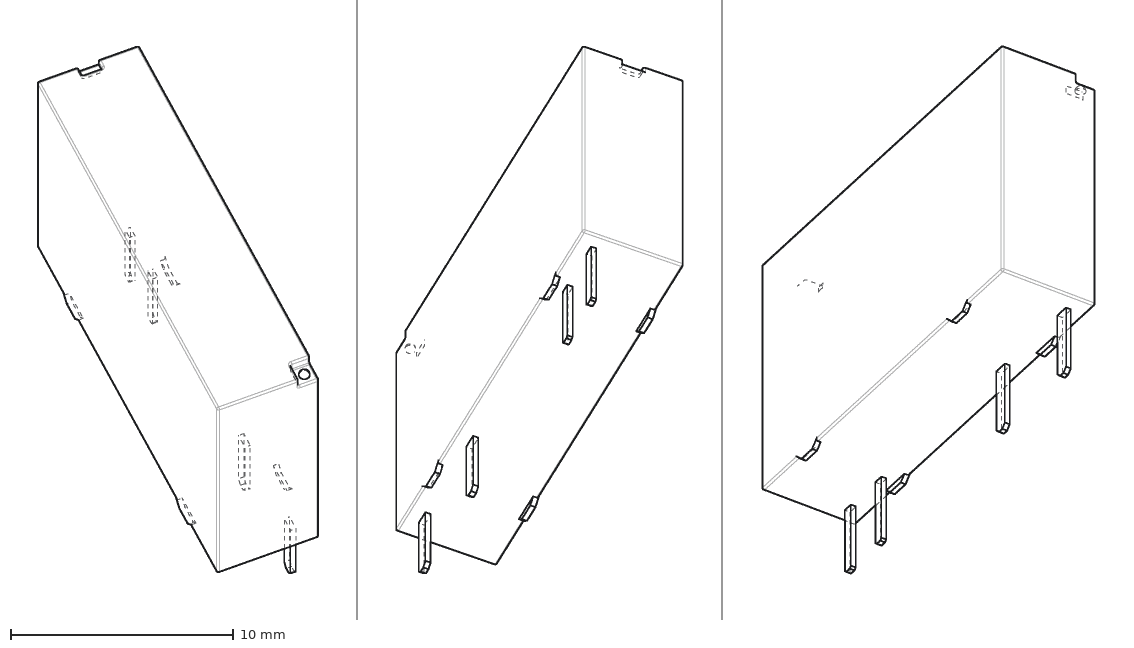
import cadquery as cq

case_length = 20.0
case_width = 5.0
overall_height = 16.0
pin_length = 3.5
case_height = overall_height - pin_length
edge_radius = 0.1

foot_height = 0.3
foot_thickness = 0.25
foot_tip_width = 0.92
foot_spacing = 12.5

pin_thickness = 0.25
pin_row_y = 1.62
narrow_pin_width = 0.5
narrow_pin_chamfer = 0.1
wide_pin_width = 0.72
wide_pin_chamfer = 0.22
pin_pitch = 2.55
first_pin_inset = 0.98
first_pin_x = first_pin_inset - case_length / 2
second_pin_x = first_pin_x + pin_pitch
third_pin_x = second_pin_x + 4 * pin_pitch
fourth_pin_x = third_pin_x + 2 * pin_pitch

recess_corner_radius = 0.1
notch_depth = 0.3
notch_length = 0.5
notch_width = 1.0
pocket_size = 1.0
pocket_depth = 0.5
pocket_floor_radius = 0.05
dome_diameter = 0.5


def recess_cutter(center_x, center_y, size_x, size_y, depth):
    """Upright block with rounded corners that sinks by depth below the top."""
    return (
        cq.Workplane("XY", origin=(center_x, center_y, case_height - depth))
        .rect(size_x, size_y)
        .extrude(2 * depth)
        .edges("|Z")
        .fillet(recess_corner_radius)
    )


def make_case():
    """Case with both recesses cut before every outer edge is rounded."""
    case = cq.Workplane("XY").box(case_length, case_width, case_height, centered=(True, True, False))
    notch = recess_cutter(-case_length / 2, 0, 2 * notch_length, notch_width, notch_depth)
    pocket = recess_cutter(case_length / 2, case_width / 2, 2 * pocket_size, 2 * pocket_size, pocket_depth)
    pocket = pocket.faces("<Z").edges().fillet(pocket_floor_radius)
    case = case.cut(notch).cut(pocket)
    outer_faces = case.faces("<X or >X or <Y or >Y or <Z or >Z")
    return outer_faces.edges().fillet(edge_radius)


def make_dome():
    """Ball sunk to its equator in the floor of the corner pocket."""
    center = (
        case_length / 2 - pocket_size / 2,
        case_width / 2 - pocket_size / 2,
        case_height - pocket_depth,
    )
    return cq.Workplane("XY").sphere(dome_diameter / 2).translate(center)


def make_foot(center_x, side):
    """Tapered foot with 45 degree flanks, flush with the long wall on the given Y side."""
    foot_root = edge_radius
    half_tip = foot_tip_width / 2
    half_root = half_tip + foot_height + foot_root
    profile = [
        (-half_root, foot_root),
        (-half_tip, -foot_height),
        (half_tip, -foot_height),
        (half_root, foot_root),
    ]
    center_y = side * (case_width - foot_thickness) / 2
    return (
        cq.Workplane("XZ", origin=(center_x, center_y, 0))
        .polyline(profile)
        .close()
        .extrude(foot_thickness / 2, both=True)
    )


def make_pin(center_x, width, chamfer):
    """Flat pin hanging from the underside, its tip chamfered on both narrow sides."""
    return (
        cq.Workplane("XY", origin=(center_x, pin_row_y, 0))
        .rect(width, pin_thickness)
        .extrude(-pin_length)
        .faces("<Z")
        .edges("|Y")
        .chamfer(chamfer)
    )


result = make_case().union(make_dome())

for foot_x in (-foot_spacing / 2, foot_spacing / 2):
    for wall_side in (-1, 1):
        result = result.union(make_foot(foot_x, wall_side))

for pin_x in (first_pin_x, second_pin_x):
    result = result.union(make_pin(pin_x, narrow_pin_width, narrow_pin_chamfer))

for pin_x in (third_pin_x, fourth_pin_x):
    result = result.union(make_pin(pin_x, wide_pin_width, wide_pin_chamfer))